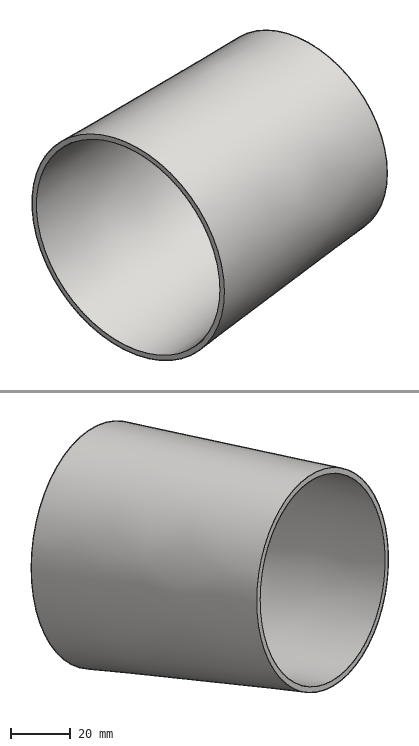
import cadquery as cq

length = 90.0
large_diameter = 84.0
small_diameter = 76.1
wall = 2.0

large_radius = large_diameter / 2
small_radius = small_diameter / 2

wall_section = (
    cq.Workplane("XY")
    .moveTo(large_radius - wall, 0)
    .lineTo(large_radius, 0)
    .lineTo(small_radius, length)
    .lineTo(small_radius - wall, length)
    .close()
)

result = wall_section.revolve(360, (0, 0, 0), (0, 1, 0))